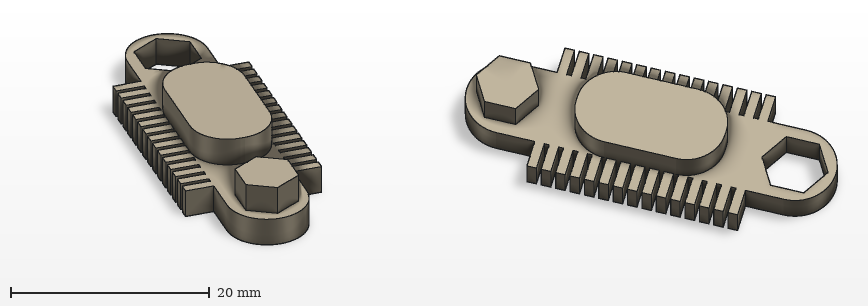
import cadquery as cq

length = 38.5
plate_width = 8.5
thickness = 3.0
end_center_x = (length - plate_width) / 2

overall_width = 14.5
finger_count = 15
finger_width = 1.0
finger_row_length = 22.0
finger_pitch = (finger_row_length - finger_width) / (finger_count - 1)

pad_length = 15.5
pad_corner_radius = 4.0
pad_height = thickness

peg_across_corners = 6.5
hole_across_corners = 6.9
peg_height = thickness


def make_plate():
    return cq.Workplane("XY").slot2D(length, plate_width).extrude(thickness)


def make_fingers():
    """Bars crossing the plate, so each one forms a finger on both sides."""
    return (
        cq.Workplane("XY")
        .rarray(finger_pitch, 0.4, finger_count, 1)
        .rect(finger_width, overall_width)
        .extrude(thickness)
    )


def make_pad():
    return (
        cq.Workplane("XY", origin=(0, 0, thickness))
        .rect(pad_length, plate_width)
        .extrude(pad_height)
        .edges("|Z")
        .fillet(pad_corner_radius)
    )


def make_hexagon(across_corners, center_x, bottom_z, height):
    return (
        cq.Workplane("XY", origin=(center_x, 0, bottom_z))
        .polygon(6, across_corners)
        .extrude(height)
    )


peg = make_hexagon(peg_across_corners, end_center_x, thickness, peg_height)
hole = make_hexagon(hole_across_corners, -end_center_x, 0, thickness)

result = make_plate().union(make_fingers()).union(make_pad()).union(peg).cut(hole)